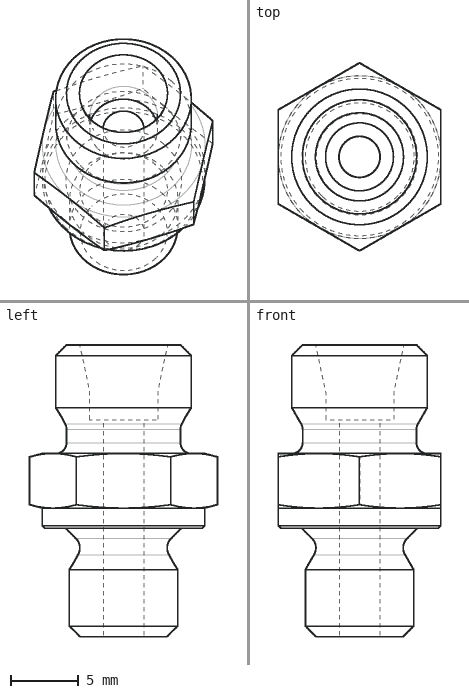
import cadquery as cq
import math

total_height = 21.5
hex_top = 13.5
hex_bottom = 9.48
collar_bottom = 8.0
upper_thread_bottom = 16.88
lower_thread_top = 4.95

across_flats = 12.0
upper_thread_diameter = 10.0
upper_neck_diameter = 8.4
lower_thread_diameter = 8.0
lower_neck_diameter = 6.45
thread_chamfer = 0.8
collar_chamfer = 0.2
upper_neck_fillet = 0.8
lower_neck_fillet = 0.99
thread_runout_angle = math.radians(30)
collar_cone_angle = math.radians(45)
hex_chamfer_angle = math.radians(15)

through_diameter = 3.0
tube_diameter = 5.0
cone_mouth_diameter = 6.5
cone_depth = 3.48
tube_socket_depth = 5.5


def revolve_profile(profile):
    """Turn a closed radius-height profile around the Z axis."""
    return profile.close().revolve(360, (0, 0, 0), (0, 1, 0))


def arc_point(center, radius, angle):
    """Point on an arc that faces the axis; positive angles lie above the center."""
    return center[0] - radius * math.cos(angle), center[1] + radius * math.sin(angle)


def make_upper_stud():
    """Upper thread with a run-out cone and a neck filleted onto the hexagon."""
    thread_radius = upper_thread_diameter / 2
    neck_radius = upper_neck_diameter / 2
    fillet = upper_neck_fillet
    runout_radius = neck_radius + fillet * (1 - math.cos(thread_runout_angle))
    runout_end = upper_thread_bottom - (thread_radius - runout_radius) / math.tan(thread_runout_angle)
    blend_center = (neck_radius + fillet, runout_end - fillet * math.sin(thread_runout_angle))
    root_center = (neck_radius + fillet, hex_top + fillet)
    profile = (
        cq.Workplane("XZ")
        .moveTo(0, hex_top)
        .lineTo(root_center[0], hex_top)
        .threePointArc(arc_point(root_center, fillet, -math.pi / 4), (neck_radius, root_center[1]))
        .lineTo(neck_radius, blend_center[1])
        .threePointArc(
            arc_point(blend_center, fillet, thread_runout_angle / 2),
            (runout_radius, runout_end),
        )
        .lineTo(thread_radius, upper_thread_bottom)
        .lineTo(thread_radius, total_height - thread_chamfer)
        .lineTo(thread_radius - thread_chamfer, total_height)
        .lineTo(0, total_height)
    )
    return revolve_profile(profile)


def make_lower_stud():
    """Lower thread, rounded neck and collar."""
    thread_radius = lower_thread_diameter / 2
    neck_radius = lower_neck_diameter / 2
    collar_radius = across_flats / 2
    fillet = lower_neck_fillet
    runout_radius = neck_radius + fillet * (1 - math.cos(thread_runout_angle))
    runout_end = lower_thread_top + (thread_radius - runout_radius) / math.tan(thread_runout_angle)
    neck_center = (neck_radius + fillet, runout_end + fillet * math.sin(thread_runout_angle))
    cone_start = arc_point(neck_center, fillet, collar_cone_angle)
    cone_end_radius = cone_start[0] + (collar_bottom - cone_start[1]) * math.tan(collar_cone_angle)
    profile = (
        cq.Workplane("XZ")
        .lineTo(thread_radius - thread_chamfer, 0)
        .lineTo(thread_radius, thread_chamfer)
        .lineTo(thread_radius, lower_thread_top)
        .lineTo(runout_radius, runout_end)
        .threePointArc((neck_radius, neck_center[1]), cone_start)
        .lineTo(cone_end_radius, collar_bottom)
        .lineTo(collar_radius - collar_chamfer, collar_bottom)
        .lineTo(collar_radius, collar_bottom + collar_chamfer)
        .lineTo(collar_radius, hex_bottom)
        .lineTo(0, hex_bottom)
    )
    return revolve_profile(profile)


def make_hexagon():
    """Hexagon with corners along Y, chamfered at both ends."""
    flat_radius = across_flats / 2
    corner_radius = flat_radius / math.cos(math.pi / 6)
    chamfer_height = (corner_radius - flat_radius) * math.tan(hex_chamfer_angle)
    prism = (
        cq.Workplane("XY", origin=(0, 0, hex_bottom))
        .polygon(6, 2 * corner_radius)
        .extrude(hex_top - hex_bottom)
        .rotate((0, 0, 0), (0, 0, 1), 30)
    )
    envelope = revolve_profile(
        cq.Workplane("XZ")
        .moveTo(0, hex_bottom)
        .lineTo(flat_radius, hex_bottom)
        .lineTo(corner_radius, hex_bottom + chamfer_height)
        .lineTo(corner_radius, hex_top - chamfer_height)
        .lineTo(flat_radius, hex_top)
        .lineTo(0, hex_top)
    )
    return prism.intersect(envelope)


def make_bore():
    """Through hole with a tube socket and a tapered mouth at the upper end."""
    socket_floor = total_height - tube_socket_depth
    return revolve_profile(
        cq.Workplane("XZ")
        .lineTo(through_diameter / 2, 0)
        .lineTo(through_diameter / 2, socket_floor)
        .lineTo(tube_diameter / 2, socket_floor)
        .lineTo(tube_diameter / 2, total_height - cone_depth)
        .lineTo(cone_mouth_diameter / 2, total_height)
        .lineTo(0, total_height)
    )


result = make_lower_stud().union(make_hexagon()).union(make_upper_stud()).cut(make_bore())